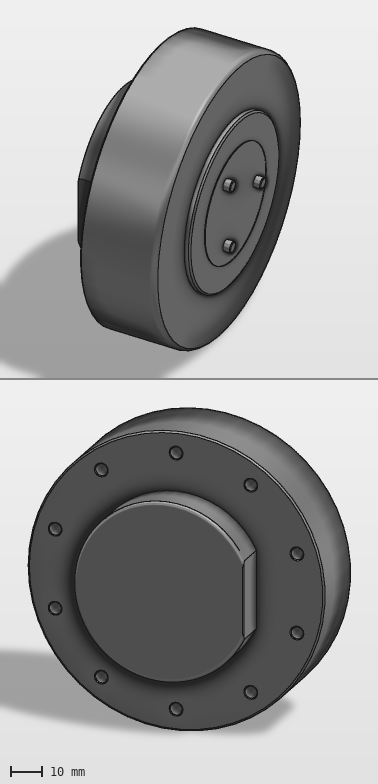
import cadquery as cq
import math

HUB_LENGTH = 12.5
HUB_RADIUS = 29.5
HUB_ROUND = 1.2
HUB_FLAT_DISTANCE = 26.6
HUB_FLAT_CHAMFER = 0.3

FLANGE_LENGTH = 26.95
FLANGE_RADIUS = 49.0
FLANGE_FRONT_CHAMFER = 0.6
FLANGE_REAR_ROUND_LENGTH = 2.1
FLANGE_REAR_ROUND_DEPTH = 1.2

RING_LENGTH = 2.1
RING_RADIUS = 30.1
RING_CHAMFER = 0.6

PAD_LENGTH = 0.3
PAD_RADIUS = 20.5

PIN_COUNT = 3
PIN_LENGTH = 2.6
PIN_RADIUS = 2.0
PIN_CIRCLE_RADIUS = 13.5
PIN_CHAMFER = 0.3
FIRST_PIN_ANGLE = 0

HOLE_COUNT = 10
HOLE_RADIUS = 2.0
HOLE_DEPTH = 9.8
HOLE_CIRCLE_RADIUS = 41.9
HOLE_CHAMFER = 0.3
FIRST_HOLE_ANGLE = 90

FLANGE_FRONT = HUB_LENGTH
FLANGE_REAR = FLANGE_FRONT + FLANGE_LENGTH
RING_REAR = FLANGE_REAR + RING_LENGTH
PAD_REAR = RING_REAR + PAD_LENGTH


def disc(start, length, radius):
    """Cylinder about the X axis, running from X = start toward +X."""
    return cq.Workplane("YZ").workplane(offset=start).circle(radius).extrude(length)


def circle_points(count, radius, first_angle):
    """Evenly spaced (Y, Z) points on a circle; the angle runs from +Y toward +Z."""
    angles = [math.radians(first_angle + i * 360 / count) for i in range(count)]
    return [(radius * math.cos(a), radius * math.sin(a)) for a in angles]


def make_hub():
    """Rounded boss with one flat on its -Y side; the front edge of the flat is lightly chamfered."""
    hub = disc(0, HUB_LENGTH, HUB_RADIUS).faces("<X").edges().fillet(HUB_ROUND)
    flat_profile = (
        cq.Workplane("XY")
        .moveTo(0, -HUB_RADIUS)
        .lineTo(HUB_LENGTH, -HUB_RADIUS)
        .lineTo(HUB_LENGTH, -HUB_FLAT_DISTANCE)
        .lineTo(HUB_FLAT_CHAMFER, -HUB_FLAT_DISTANCE)
        .lineTo(0, HUB_FLAT_CHAMFER - HUB_FLAT_DISTANCE)
        .close()
    )
    return hub.cut(flat_profile.extrude(HUB_RADIUS, both=True))


def make_flange():
    """Main disc: chamfered front rim; the rear rim arc is tangent to the side but not to the face."""
    profile = (
        cq.Workplane("XY")
        .moveTo(FLANGE_FRONT, 0)
        .lineTo(FLANGE_FRONT, FLANGE_RADIUS - FLANGE_FRONT_CHAMFER)
        .lineTo(FLANGE_FRONT + FLANGE_FRONT_CHAMFER, FLANGE_RADIUS)
        .lineTo(FLANGE_REAR - FLANGE_REAR_ROUND_LENGTH, FLANGE_RADIUS)
        .tangentArcPoint((FLANGE_REAR, FLANGE_RADIUS - FLANGE_REAR_ROUND_DEPTH), relative=False)
        .lineTo(FLANGE_REAR, 0)
        .close()
    )
    return profile.revolve(360, (0, 0, 0), (1, 0, 0))


def make_rear_ring():
    ring = disc(FLANGE_REAR, RING_LENGTH, RING_RADIUS)
    return ring.faces(">X").edges().chamfer(RING_CHAMFER)


def make_pins():
    pins = (
        cq.Workplane("YZ")
        .workplane(offset=PAD_REAR)
        .pushPoints(circle_points(PIN_COUNT, PIN_CIRCLE_RADIUS, FIRST_PIN_ANGLE))
        .circle(PIN_RADIUS)
        .extrude(PIN_LENGTH)
    )
    return pins.faces(">X").edges().chamfer(PIN_CHAMFER)


def make_hole_cutters():
    """Round cutters, each with a cone that chamfers the mouth of its hole."""
    mouths = cq.Workplane("YZ").workplane(offset=FLANGE_FRONT).pushPoints(
        circle_points(HOLE_COUNT, HOLE_CIRCLE_RADIUS, FIRST_HOLE_ANGLE)
    )
    holes = mouths.circle(HOLE_RADIUS).extrude(HOLE_DEPTH)
    cones = mouths.circle(HOLE_RADIUS + HOLE_CHAMFER).extrude(HOLE_CHAMFER, taper=45)
    return holes.union(cones)


body = make_flange().union(make_hub()).union(make_rear_ring())
body = body.union(disc(RING_REAR, PAD_LENGTH, PAD_RADIUS)).union(make_pins())
result = body.cut(make_hole_cutters())